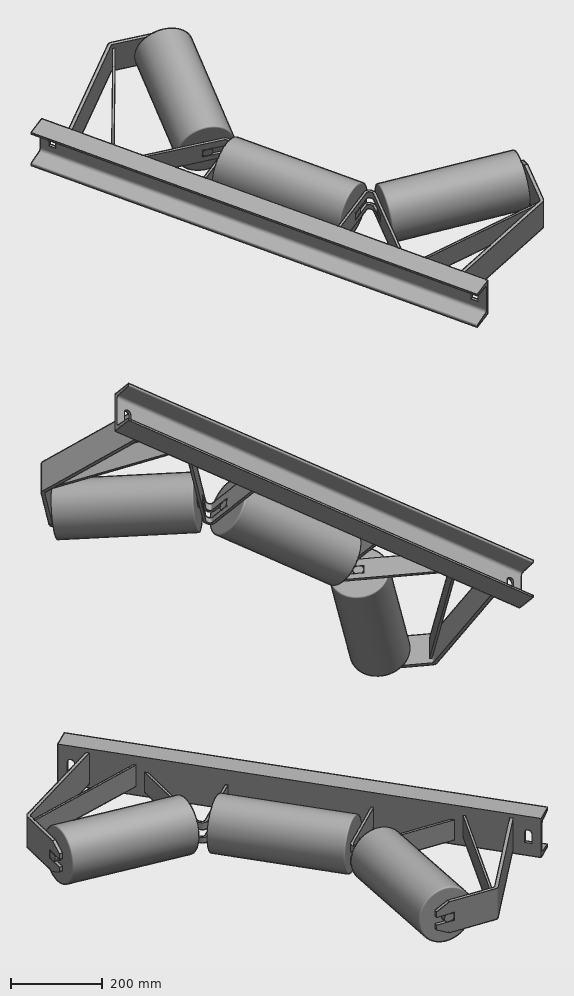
import cadquery as cq
import math


beam_length = 1100.0
beam_height = 100.0
beam_depth = 50.0
web_thickness = 7.0
flange_tip_thickness = 7.0
flange_root_thickness = 11.0
root_radius = 8.0
tip_radius = 3.0
mount_hole_inset = 30.0
mount_hole_width = 16.0
mount_hole_top = 15.0
mount_hole_bottom = -18.0

roller_radius = 66.5
roller_length = 315.0
roller_edge_radius = 3.0
shaft_radius = 12.0
shaft_flat_width = 19.0
inner_shaft_z = -15.0
outer_shaft_z = -1.0
middle_roller_y = 117.0
wing_roller_x = 330.0
wing_roller_y = 253.0
wing_angle = 45.0

inner_plate_offset = 163.0
outer_plate_offset = 164.0
slot_width = 20.0
slot_floor_gap = 0.2
slot_reach = 220.0
slot_overcut = 3

inner_plate_thickness = 6.0
inner_plate_width = 52.0
inner_plate_z = -13.0
inner_bracket_top_y = 168.0
inner_bend_radius = 5.0

outer_plate_thickness = 8.0
outer_plate_width = 79.0
outer_foot_x = 486.0
outer_elbow_y = 289.0
outer_tip_y = 397.0
outer_bend_radius = 5.0
tip_chamfer_along = 32.0
tip_chamfer_across = 16.0

rib_thickness = 6.0
rib_width = 55.0
rib_foot_x = 372.0

diagonal = math.sqrt(0.5)
inner_outer_radius = inner_bend_radius + inner_plate_thickness
outer_outer_radius = outer_bend_radius + outer_plate_thickness

wing_sum = wing_roller_x + wing_roller_y
inner_face_sum = wing_sum - inner_plate_offset / diagonal
outer_near_sum = wing_sum + outer_plate_offset / diagonal
outer_far_sum = outer_near_sum + outer_plate_thickness / diagonal

shaft_span = inner_plate_offset + outer_plate_offset
inner_shaft_reach = inner_plate_offset + inner_plate_thickness
outer_shaft_reach = outer_plate_offset + outer_plate_thickness
wing_tilt = math.degrees(math.asin((outer_shaft_z - inner_shaft_z) / shaft_span))
wing_roller_z = (inner_shaft_z + outer_shaft_z) / 2


def upright_plate(outline, width, centre_z):
    """Band with the given XY outline and a width centred on centre_z."""
    start = cq.Workplane("XY", origin=(0, 0, centre_z - width / 2))
    return start.polyline(outline).close().extrude(width)


def round_bend(plate, corner, centre_z, radius):
    """Round the edge along Z that stands at the given XY corner."""
    edge = cq.selectors.NearestToPointSelector((*corner, centre_z))
    return plate.edges(edge).fillet(radius)


def mirror_left(body):
    """Copy of a right-hand body on the left side of the beam."""
    return body.mirror("YZ")


def make_beam():
    half_height = beam_height / 2
    root_z = half_height - flange_root_thickness
    tip_z = half_height - flange_tip_thickness
    outline = [
        (0, -half_height),
        (-beam_depth, -half_height),
        (-beam_depth, -tip_z),
        (-web_thickness, -root_z),
        (-web_thickness, root_z),
        (-beam_depth, tip_z),
        (-beam_depth, half_height),
        (0, half_height),
    ]
    beam = (
        cq.Workplane("YZ", origin=(-beam_length / 2, 0, 0))
        .polyline(outline)
        .close()
        .extrude(beam_length)
    )
    for side in (-1, 1):
        root = cq.selectors.NearestToPointSelector((0, -web_thickness, side * root_z))
        beam = beam.edges(root).fillet(root_radius)
        tip = cq.selectors.NearestToPointSelector((0, -beam_depth, side * tip_z))
        beam = beam.edges(tip).fillet(tip_radius)
    for side in (-1, 1):
        beam = beam.cut(mount_hole(side * (beam_length / 2 - mount_hole_inset)))
    return beam


def mount_hole(centre_x):
    """Arch-shaped cutter through the web."""
    radius = mount_hole_width / 2
    return (
        cq.Workplane("XZ")
        .moveTo(centre_x - radius, mount_hole_bottom)
        .lineTo(centre_x + radius, mount_hole_bottom)
        .lineTo(centre_x + radius, mount_hole_top - radius)
        .threePointArc((centre_x, mount_hole_top), (centre_x - radius, mount_hole_top - radius))
        .close()
        .extrude(2 * web_thickness, both=True)
    )


def make_roller(start_reach, end_reach):
    """Roller along X at the origin; its shaft ends have two flats facing +Z and -Z."""
    barrel = (
        cq.Workplane("XZ")
        .rect(roller_length, roller_radius, centered=(True, False))
        .revolve(360, (0, 0, 0), (1, 0, 0))
        .edges("%CIRCLE")
        .fillet(roller_edge_radius)
    )
    shaft = cq.Workplane("YZ", origin=(-start_reach, 0, 0)).circle(shaft_radius)
    shaft = shaft.extrude(start_reach + end_reach)
    flats = cq.Workplane("XY").box(2 * roller_length, 2 * shaft_radius, shaft_flat_width)
    return barrel.union(shaft.intersect(flats))


def make_middle_roller():
    return make_roller(inner_shaft_reach, inner_shaft_reach).translate((0, middle_roller_y, inner_shaft_z))


def make_right_roller():
    roller = make_roller(inner_shaft_reach, outer_shaft_reach)
    roller = roller.rotate((0, 0, 0), (0, 1, 0), -wing_tilt)
    roller = roller.rotate((0, 0, 0), (0, 0, 1), wing_angle)
    return roller.translate((wing_roller_x, wing_roller_y, wing_roller_z))


def shaft_slot(centre, angle, plate_thickness):
    """Cutter for an open slot that runs from below a shaft up along its plate.

    `angle` is the direction of the shaft in the XY plane.
    """
    floor = shaft_radius + slot_floor_gap
    cut_depth = slot_overcut * plate_thickness
    cutter = (
        cq.Workplane("XY")
        .box(cut_depth, slot_reach, slot_width, centered=(True, False, True))
        .translate((0, -floor, 0))
    )
    return cutter.rotate((0, 0, 0), (0, 0, 1), angle).translate(centre)


def wing_shaft_point(distance, height):
    """Point on the right wing roller's axis, `distance` outward from its centre."""
    return (wing_roller_x + distance * diagonal, wing_roller_y + distance * diagonal, height)


def make_inner_bracket():
    """Bent strap: upright beside the middle roller, short top, diagonal under the wing roller."""
    upright_x = inner_plate_offset
    top_y = inner_bracket_top_y
    thickness = inner_plate_thickness
    under_y = top_y - thickness
    under_sum = inner_face_sum - thickness / diagonal
    outline = [
        (upright_x, 0),
        (upright_x, top_y),
        (inner_face_sum - top_y, top_y),
        (inner_face_sum, 0),
        (under_sum, 0),
        (under_sum - under_y, under_y),
        (upright_x + thickness, under_y),
        (upright_x + thickness, 0),
    ]
    bracket = upright_plate(outline, inner_plate_width, inner_plate_z)
    top_outer, top_inner = outline[1:3]
    under_inner, under_outer = outline[5:7]
    for corner in (top_outer, top_inner):
        bracket = round_bend(bracket, corner, inner_plate_z, inner_outer_radius)
    for corner in (under_inner, under_outer):
        bracket = round_bend(bracket, corner, inner_plate_z, inner_bend_radius)
    middle_shaft_end = (upright_x + thickness / 2, middle_roller_y, inner_shaft_z)
    wing_shaft_end = wing_shaft_point(-inner_plate_offset - thickness / 2, inner_shaft_z)
    bracket = bracket.cut(shaft_slot(middle_shaft_end, 0, thickness))
    return bracket.cut(shaft_slot(wing_shaft_end, wing_angle, thickness))


elbow_x = outer_far_sum - outer_elbow_y
leg_lean = math.atan2(elbow_x - outer_foot_x, outer_elbow_y)
leg_width_x = outer_plate_thickness / math.cos(leg_lean)
inner_foot_x = outer_foot_x - leg_width_x
inside_elbow_y = (outer_near_sum - inner_foot_x) / (1 + math.tan(leg_lean))
inside_elbow_x = outer_near_sum - inside_elbow_y


def make_outer_bracket():
    """Bent plate: leaning leg from the beam, then a slotted plate at 45 degrees."""
    tip_step = outer_plate_thickness * diagonal
    tip_x = outer_far_sum - outer_tip_y
    outline = [
        (outer_foot_x, 0),
        (elbow_x, outer_elbow_y),
        (tip_x, outer_tip_y),
        (tip_x - tip_step, outer_tip_y - tip_step),
        (inside_elbow_x, inside_elbow_y),
        (inner_foot_x, 0),
    ]
    bracket = upright_plate(outline, outer_plate_width, 0)
    bracket = round_bend(bracket, (elbow_x, outer_elbow_y), 0, outer_outer_radius)
    bracket = round_bend(bracket, (inside_elbow_x, inside_elbow_y), 0, outer_bend_radius)
    slot_centre = wing_shaft_point(outer_plate_offset + outer_plate_thickness / 2, outer_shaft_z)
    bracket = bracket.cut(shaft_slot(slot_centre, wing_angle, outer_plate_thickness))
    for side in (-1, 1):
        bracket = bracket.cut(tip_corner(tip_x, side))
    return bracket


def tip_corner(tip_x, side):
    """Wedge that cuts one slanted corner off the free end of the outer plate."""
    edge_z = side * outer_plate_width / 2
    plate_plane = cq.Plane(
        origin=(tip_x, outer_tip_y, 0), xDir=(diagonal, -diagonal, 0), normal=(diagonal, diagonal, 0)
    )
    corner = [(0, edge_z), (tip_chamfer_along, edge_z), (0, edge_z - side * tip_chamfer_across)]
    corner = [(along, -across) for along, across in corner]
    return (
        cq.Workplane(plate_plane).polyline(corner).close().extrude(2 * outer_plate_thickness, both=True)
    )


def make_rib():
    """Flat brace from the beam to the 45 degree plate just above the elbow bend."""
    bend_turn = math.radians(wing_angle) + leg_lean
    bend_end = outer_bend_radius * math.tan(bend_turn / 2)
    seat_x = inside_elbow_x - bend_end * diagonal
    seat_y = inside_elbow_y + bend_end * diagonal
    rib_lean = math.atan2(seat_x - rib_foot_x - rib_thickness, seat_y)
    far_y = (outer_near_sum - rib_foot_x) / (1 + math.tan(rib_lean))
    outline = [
        (rib_foot_x, 0),
        (outer_near_sum - far_y, far_y),
        (seat_x, seat_y),
        (seat_x - seat_y * math.tan(rib_lean), 0),
    ]
    return upright_plate(outline, rib_width, 0)


beam = make_beam()
middle_roller = make_middle_roller()
paired_bodies = []
for make_right in (make_right_roller, make_inner_bracket, make_outer_bracket, make_rib):
    right_body = make_right()
    paired_bodies += [right_body.val(), mirror_left(right_body).val()]

result = cq.Compound.makeCompound([beam.val(), middle_roller.val(), *paired_bodies])